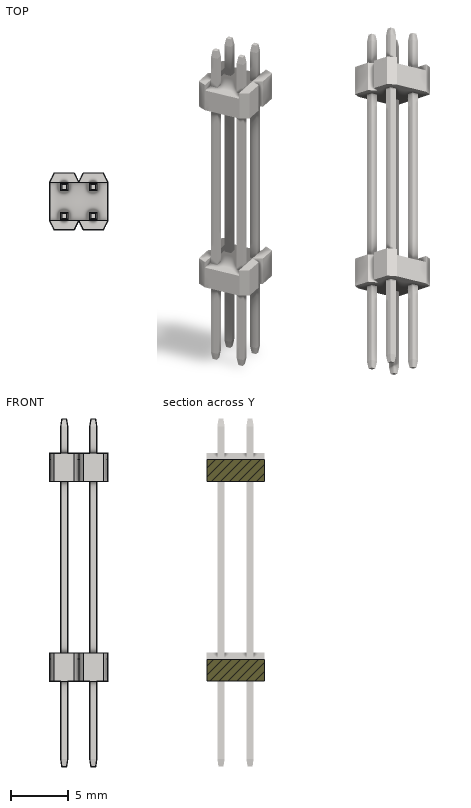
import cadquery as cq


body_width = 5.1
body_depth = 5.0
body_height = 2.5
wing_thickness = 0.82
recess_depth = 0.55
bevel_width = 0.4
bevel_depth = 0.8

pin_count = 2
pitch = body_width / pin_count
pin_length = 30.5
pin_size = 0.65
tip_size = 0.43
tip_length = 0.67

lower_tail = 7.5
upper_tail = 3.0
body_bottoms = [lower_tail, pin_length - upper_tail - body_height]


def body_outline():
    """Corner points of the body, with bevelled corners and a V notch between pin columns."""
    half_depth = body_depth / 2
    bevel_start = half_depth - bevel_depth
    front_edge = []
    for column in range(pin_count):
        left = column * pitch - body_width / 2
        front_edge += [
            (left, -bevel_start),
            (left + bevel_width, -half_depth),
            (left + pitch - bevel_width, -half_depth),
        ]
    front_edge.append((body_width / 2, -bevel_start))
    back_edge = [(x, -y) for x, y in reversed(front_edge)]
    return front_edge + back_edge


def make_body(bottom):
    """Insulator block with a raised wing along its front and back edges."""
    base = cq.Workplane("XY").workplane(offset=bottom)
    block = base.polyline(body_outline()).close().extrude(body_height)
    recess = (
        cq.Workplane("XY")
        .workplane(offset=bottom + body_height - recess_depth)
        .rect(body_width, body_depth - 2 * wing_thickness)
        .extrude(recess_depth)
    )
    return block.cut(recess)


def make_tip(base, direction):
    """Tapered pin end; direction is +1 for an upward tip and -1 for a downward one."""
    return (
        cq.Workplane("XY")
        .workplane(offset=base)
        .rect(pin_size, pin_size)
        .workplane(offset=direction * tip_length)
        .rect(tip_size, tip_size)
        .loft(ruled=True)
    )


def make_pin():
    """Square pin with a taper at both ends."""
    shank_length = pin_length - 2 * tip_length
    shank = cq.Workplane("XY").workplane(offset=tip_length).rect(pin_size, pin_size).extrude(shank_length)
    return shank.union(make_tip(pin_length - tip_length, 1)).union(make_tip(tip_length, -1))


pin = make_pin()
pin_positions = cq.Workplane("XY").rarray(pitch, pitch, pin_count, pin_count)
result = pin_positions.eachpoint(lambda place: pin.val().moved(place), combine=True)
for body_bottom in body_bottoms:
    result = result.union(make_body(body_bottom))